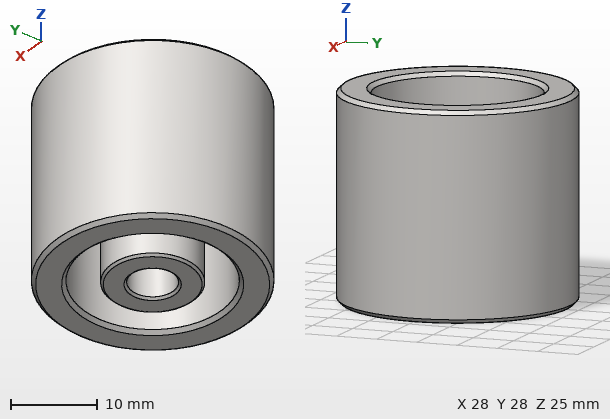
import cadquery as cq

SLEEVE_OUTER_DIAMETER = 28.0
SLEEVE_BORE_DIAMETER = 20.0
SLEEVE_HEIGHT = 25.0
SLEEVE_CHAMFER = 0.5

BUSHING_OUTER_DIAMETER = 12.0
BUSHING_BORE_DIAMETER = 6.0
BUSHING_HEIGHT = 10.0
BUSHING_CHAMFER = 0.3

BOTTOM_Z = -SLEEVE_HEIGHT / 2


def chamfered_ring(outer_diameter, bore_diameter, height, chamfer):
    """Upright ring standing on the bottom plane, with all four circular edges chamfered."""
    ring = (
        cq.Workplane("XY", origin=(0, 0, BOTTOM_Z))
        .circle(outer_diameter / 2)
        .circle(bore_diameter / 2)
        .extrude(height)
    )
    return ring.faces("<Z or >Z").edges().chamfer(chamfer)


sleeve = chamfered_ring(SLEEVE_OUTER_DIAMETER, SLEEVE_BORE_DIAMETER, SLEEVE_HEIGHT, SLEEVE_CHAMFER)
bushing = chamfered_ring(BUSHING_OUTER_DIAMETER, BUSHING_BORE_DIAMETER, BUSHING_HEIGHT, BUSHING_CHAMFER)

result = cq.Compound.makeCompound([sleeve.val(), bushing.val()])